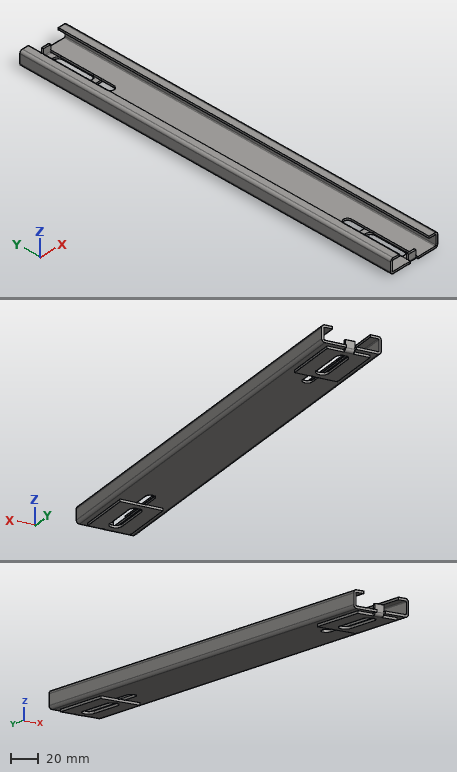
import cadquery as cq

LENGTH = 374.0
WIDTH = 49.0
TOTAL_HEIGHT = 16.0
SHEET = 2.0
BEND_RADIUS = 2.5
LIP_REACH = 9.0

SLOT_WIDTH = 8.0
SLOT_REACH = 71.0

PLATE_WIDTH = 35.0
PLATE_END = 54.2
TAB_START = 2.0
TAB_HEIGHT = 9.0
WINDOW_START = 10.0
WINDOW_END = 49.0
WINDOW_WIDTH = 10.0

PLATE_START = TAB_START + BEND_RADIUS
INNER_BEND_RADIUS = BEND_RADIUS - SHEET
HALF_LENGTH = LENGTH / 2
RAIL_BOTTOM = SHEET
RAIL_HEIGHT = TOTAL_HEIGHT - SHEET


def end_slot(end):
    """Cutter for the slot that opens through one rail end (end is -1 or +1)."""
    arc_center = end * (HALF_LENGTH - SLOT_REACH + SLOT_WIDTH / 2)
    straight_length = abs(end * HALF_LENGTH - arc_center)
    straight_center = (end * HALF_LENGTH + arc_center) / 2
    straight = (
        cq.Workplane("XY", origin=(0, straight_center, 0))
        .rect(SLOT_WIDTH, straight_length)
        .extrude(RAIL_BOTTOM + SHEET)
    )
    rounded_end = (
        cq.Workplane("XY", origin=(0, arc_center, 0))
        .circle(SLOT_WIDTH / 2)
        .extrude(RAIL_BOTTOM + SHEET)
    )
    return straight.union(rounded_end)


def make_rail():
    """C-shaped rail with inward lips and a slot at each end."""
    outside = (
        cq.Workplane("XY", origin=(0, 0, RAIL_BOTTOM))
        .box(WIDTH, LENGTH, RAIL_HEIGHT, centered=(True, True, False))
        .edges("|Y")
        .fillet(BEND_RADIUS)
    )
    inside = (
        cq.Workplane("XY", origin=(0, 0, RAIL_BOTTOM + SHEET))
        .box(WIDTH - 2 * SHEET, LENGTH, RAIL_HEIGHT - 2 * SHEET, centered=(True, True, False))
        .edges("|Y")
        .fillet(INNER_BEND_RADIUS)
    )
    mouth = (
        cq.Workplane("XY", origin=(0, 0, TOTAL_HEIGHT - SHEET))
        .box(WIDTH - 2 * LIP_REACH, LENGTH, SHEET, centered=(True, True, False))
    )
    rail = outside.cut(inside).cut(mouth)
    for end in (-1, 1):
        rail = rail.cut(end_slot(end))
    return rail


def make_clip():
    """Clip at the -Y end: windowed plate under the rail, bent up into a tab in the slot."""
    plate_length = PLATE_END - PLATE_START
    plate_center = (PLATE_START + PLATE_END) / 2 - HALF_LENGTH
    plate = (
        cq.Workplane("XY", origin=(0, plate_center, 0))
        .box(PLATE_WIDTH, plate_length, SHEET, centered=(True, True, False))
    )

    tab_face = TAB_START - HALF_LENGTH
    bend_end = PLATE_START - HALF_LENGTH
    foot_end = WINDOW_START - HALF_LENGTH
    tab = (
        cq.Workplane("YZ", origin=(-SLOT_WIDTH / 2, 0, 0))
        .moveTo(tab_face, TAB_HEIGHT)
        .lineTo(tab_face, BEND_RADIUS)
        .radiusArc((bend_end, 0), -BEND_RADIUS)
        .lineTo(foot_end, 0)
        .lineTo(foot_end, SHEET)
        .lineTo(bend_end, SHEET)
        .radiusArc((tab_face + SHEET, BEND_RADIUS), INNER_BEND_RADIUS)
        .lineTo(tab_face + SHEET, TAB_HEIGHT)
        .close()
        .extrude(SLOT_WIDTH)
    )

    window_center = (WINDOW_START + WINDOW_END) / 2 - HALF_LENGTH
    window = (
        cq.Workplane("XY", origin=(0, window_center, 0))
        .slot2D(WINDOW_END - WINDOW_START, WINDOW_WIDTH, 90)
        .extrude(SHEET)
    )
    return plate.union(tab).cut(window)


rail = make_rail()
clips = [make_clip().rotate((0, 0, 0), (0, 0, 1), angle) for angle in (0, 180)]

result = cq.Compound.makeCompound([rail.val(), *[clip.val() for clip in clips]])